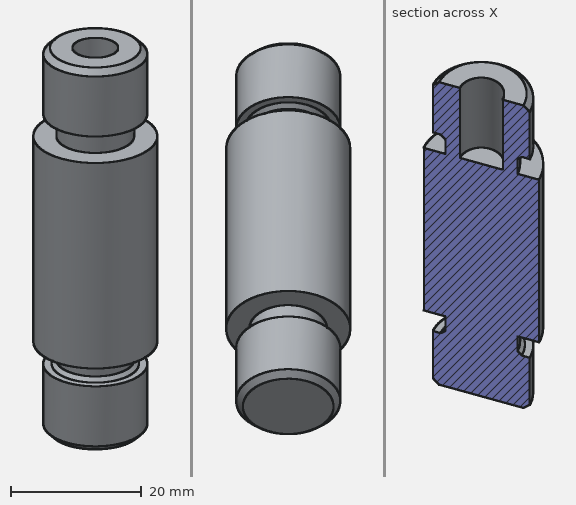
import cadquery as cq

total_length = 65.0
body_length = 35.0
body_diameter = 19.05
head_diameter = 16.0
neck_diameter = 11.95

tip_chamfer = 1.05
neck_length = 3.8
neck_flare = 0.7

bore_diameter = 7.0
bore_depth = 15.0

body_radius = body_diameter / 2
head_radius = head_diameter / 2
neck_radius = neck_diameter / 2
half_length = total_length / 2
half_body = body_length / 2
head_underside = half_body + neck_length


def make_end():
    """Neck and head of the upper end, from the body shoulder to the tip."""
    return (
        cq.Workplane("XZ")
        .moveTo(0, half_body)
        .lineTo(-neck_radius, half_body)
        .lineTo(-neck_radius, head_underside - neck_flare)
        .lineTo(-neck_radius - neck_flare, head_underside)
        .lineTo(-head_radius, head_underside)
        .lineTo(-head_radius, half_length - tip_chamfer)
        .lineTo(-head_radius + tip_chamfer, half_length)
        .lineTo(0, half_length)
        .close()
        .revolve(360, (0, 0, 0), (0, 1, 0))
    )


body = cq.Workplane("XY").workplane(offset=-half_body).circle(body_radius).extrude(body_length)
upper_end = make_end()
spindle = body.union(upper_end).union(upper_end.mirror("XY"))

bore = (
    cq.Workplane("XY")
    .workplane(offset=half_length - bore_depth)
    .circle(bore_diameter / 2)
    .extrude(bore_depth)
)

result = spindle.cut(bore)